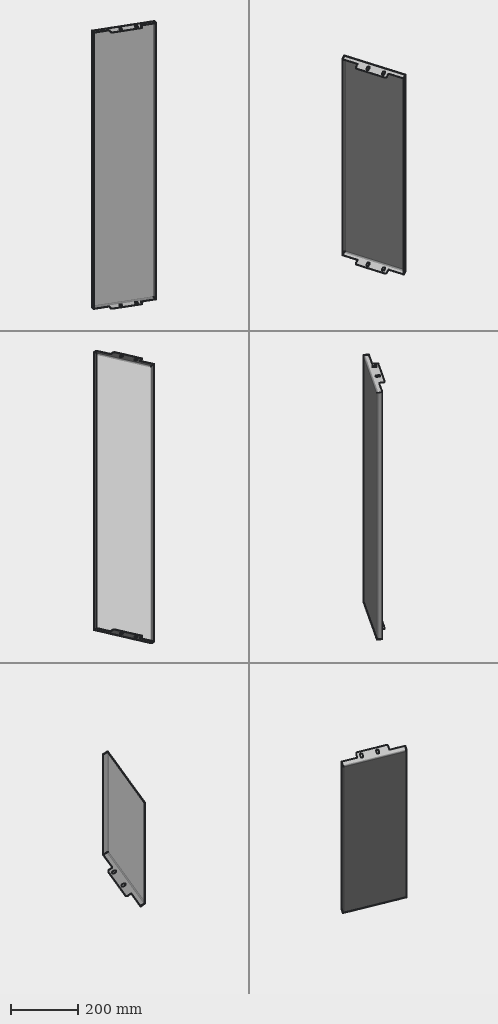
import cadquery as cq

height = 907.0
width = 199.0
total_depth = 35.0
tray_depth = 17.0
sheet = 1.5
outer_bend_radius = 3.0
inner_bend_radius = outer_bend_radius - sheet

tab_width = 100.0
tab_corner_radius = 5.0

slot_length = 14.0
slot_width = 7.0
slot_center_x = 21.0
slot_spacing = 50.0
upper_slot_y = 35.0
slot_positions_y = (upper_slot_y, upper_slot_y - slot_spacing)


def rounded_block(front_x, block_width, block_height, bend_radius):
    """Block from front_x to the open back, with its front edges rounded."""
    block = cq.Workplane("XY").box(
        tray_depth - front_x, block_width, block_height, centered=(False, True, True)
    )
    return block.faces("<X").edges().fillet(bend_radius).translate((front_x, 0, 0))


def make_tray():
    outside = rounded_block(0, width, height, outer_bend_radius)
    inside = rounded_block(sheet, width - 2 * sheet, height - 2 * sheet, inner_bend_radius)
    return outside.cut(inside)


def make_tab(bottom_z):
    """Flat tab that starts inside the flange and reaches the full depth."""
    tab_start = tray_depth / 2
    return (
        cq.Workplane("XY")
        .box(total_depth - tab_start, tab_width, sheet, centered=(False, True, False))
        .edges("|Z and >X")
        .fillet(tab_corner_radius)
        .translate((tab_start, 0, bottom_z))
    )


def make_slot_cutter():
    """Slots running vertically through both flanges."""
    return (
        cq.Workplane("XY")
        .pushPoints([(slot_center_x, y) for y in slot_positions_y])
        .slot2D(slot_length, slot_width)
        .extrude(height, both=True)
    )


result = make_tray()
for tab_bottom in (-height / 2, height / 2 - sheet):
    result = result.union(make_tab(tab_bottom))
result = result.cut(make_slot_cutter())